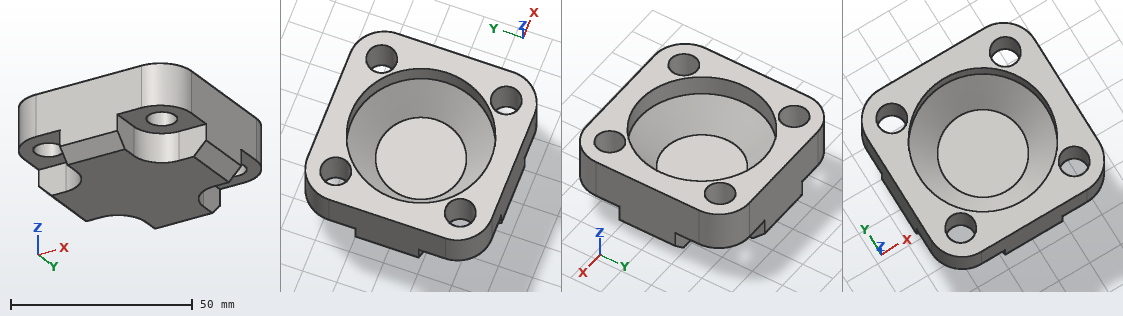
import cadquery as cq

side = 54.0
height = 22.0
corner_radius = 10.0

relief_height = 9.0
relief_radius = 9.0
foot_chamfer = 4.0

hole_diameter = 8.5
hole_offset = 18.25

mouth_diameter = 41.0
mouth_depth = 6.4
floor_diameter = 25.0
cone_depth = (mouth_diameter - floor_diameter) / 2


def make_block():
    """Rounded square block with its bottom edges chamfered along the straight sides."""
    block = cq.Workplane("XY").rect(side, side).extrude(height)
    block = block.faces("<Z").edges().chamfer(foot_chamfer)
    rounded = cq.Workplane("XY").rect(side, side).extrude(height).edges("|Z").fillet(corner_radius)
    return block.intersect(rounded)


def make_corner_relief(x_sign, y_sign):
    """Open corner notch whose inner corner is rounded about the screw hole axis."""
    inner = hole_offset - relief_radius
    size = side / 2 - inner
    center = inner + size / 2
    notch = (
        cq.Workplane("XY")
        .center(x_sign * center, y_sign * center)
        .rect(size, size)
        .extrude(relief_height)
    )
    inner_edge = cq.selectors.NearestToPointSelector((x_sign * inner, y_sign * inner, relief_height / 2))
    return notch.edges("|Z").edges(inner_edge).fillet(relief_radius)


def make_screw_hole(x_sign, y_sign):
    """Through hole near one corner."""
    return (
        cq.Workplane("XY")
        .center(x_sign * hole_offset, y_sign * hole_offset)
        .circle(hole_diameter / 2)
        .extrude(height)
    )


def make_pocket():
    """Revolved cutter for the cylinder-and-cone pocket in the top face."""
    shoulder_z = height - mouth_depth
    profile = [
        (0, height),
        (mouth_diameter / 2, height),
        (mouth_diameter / 2, shoulder_z),
        (floor_diameter / 2, shoulder_z - cone_depth),
        (0, shoulder_z - cone_depth),
    ]
    return cq.Workplane("XZ").polyline(profile).close().revolve(360, (0, 0, 0), (0, 1, 0))


result = make_block().cut(make_pocket())
for x_sign in (-1, 1):
    for y_sign in (-1, 1):
        result = result.cut(make_corner_relief(x_sign, y_sign))
        result = result.cut(make_screw_hole(x_sign, y_sign))